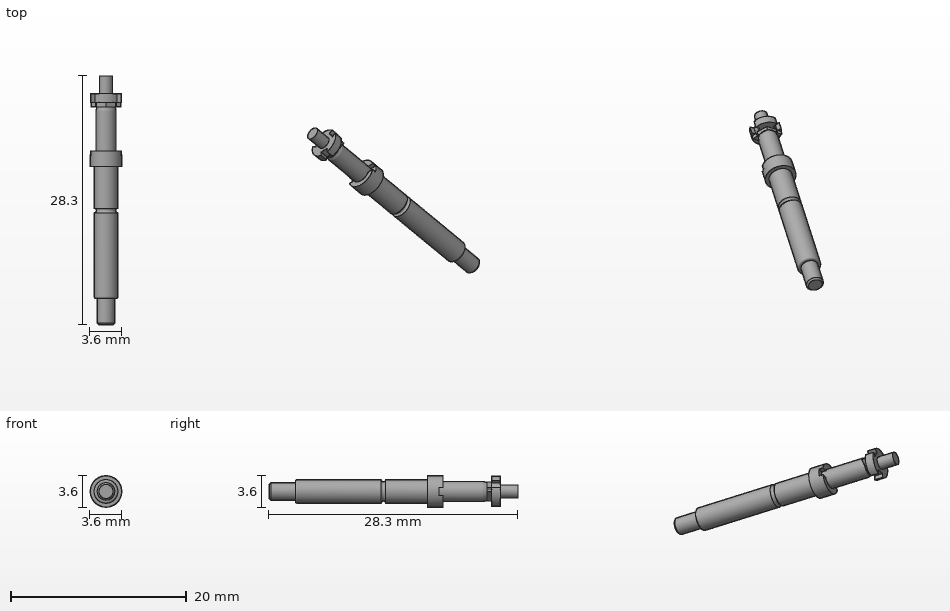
import cadquery as cq
import math

total_length = 28.3
flange_start = 2.0
flange_end = 3.0
cam_end = 3.5
neck_end = 3.95
collar_start = 8.5
collar_end = 10.3
groove_center = 15.3
barrel_end = 25.3

tip_radius = 0.75
core_radius = tip_radius
flange_radius = 1.76
neck_radius = 1.05
sleeve_radius = 1.15
collar_radius = 1.8
barrel_radius = 1.35
tail_radius = 1.0

groove_radius = 0.25
barrel_round = 0.2
tail_chamfer = 0.2

slot_angles = (30, 150, 270)
slot_width = 0.9
slot_floor = 1.18

cam_half_width = 1.7
cam_half_height = 1.1
cam_slope = math.radians(30)

key_slot_width = 0.92
key_slot_depth = 0.5

tip_y = total_length / 2


def revolved_body():
    """Turned pin: a half profile spun about the Y axis."""

    def at(radius, station):
        return radius, tip_y - station

    barrel_round_center = at(barrel_radius - barrel_round, barrel_end - barrel_round)
    round_offset = barrel_round * math.sqrt(0.5)
    barrel_round_middle = (
        barrel_round_center[0] + round_offset,
        barrel_round_center[1] - round_offset,
    )
    profile = (
        cq.Workplane("XY")
        .moveTo(*at(0, 0))
        .lineTo(*at(tip_radius, 0))
        .lineTo(*at(tip_radius, flange_start))
        .lineTo(*at(flange_radius, flange_start))
        .lineTo(*at(flange_radius, flange_end))
        .lineTo(*at(core_radius, flange_end))
        .lineTo(*at(core_radius, cam_end))
        .lineTo(*at(neck_radius, cam_end))
        .lineTo(*at(sleeve_radius, neck_end))
        .lineTo(*at(sleeve_radius, collar_start))
        .lineTo(*at(collar_radius, collar_start))
        .lineTo(*at(collar_radius, collar_end))
        .lineTo(*at(barrel_radius, collar_end))
        .lineTo(*at(barrel_radius, groove_center - groove_radius))
        .threePointArc(
            at(barrel_radius - groove_radius, groove_center),
            at(barrel_radius, groove_center + groove_radius),
        )
        .lineTo(*at(barrel_radius, barrel_end - barrel_round))
        .threePointArc(barrel_round_middle, at(barrel_radius - barrel_round, barrel_end))
        .lineTo(*at(tail_radius, barrel_end))
        .lineTo(*at(tail_radius, total_length - tail_chamfer))
        .lineTo(*at(tail_radius - tail_chamfer, total_length))
        .lineTo(*at(0, total_length))
        .close()
    )
    return profile.revolve(360, (0, 0, 0), (0, 1, 0))


def prism(outline, station_start, station_end):
    """Extrude an outline drawn in X and Z between two stations along the axis."""
    return (
        cq.Workplane("XZ", origin=(0, tip_y - station_start, 0))
        .polyline(outline)
        .close()
        .extrude(station_end - station_start)
    )


def rectangle(x_start, x_end, height):
    """Outline of a rectangle between two X positions, centred on Z = 0."""
    half_height = height / 2
    return [
        (x_start, -half_height),
        (x_end, -half_height),
        (x_end, half_height),
        (x_start, half_height),
    ]


def flange_slot(angle):
    """Parallel-sided slot with a flat floor, open outward past the flange rim."""
    outline = rectangle(slot_floor, 2 * flange_radius, slot_width)
    return prism(outline, flange_start, flange_end).rotate((0, 0, 0), (0, -1, 0), angle)


def cam():
    """Pointed plate with a top ridge, whose upper flanks step down along the slot floors."""
    rise = math.tan(cam_slope)
    floor_direction = math.radians(slot_angles[0])
    floor_x = math.cos(floor_direction)
    floor_z = math.sin(floor_direction)

    def step_corner(height_at_center):
        """Point where a flank of the given height at X = 0 meets the slot floor line."""
        x = (slot_floor - height_at_center * floor_z) / (floor_x - rise * floor_z)
        return x, height_at_center - rise * x

    upper_x, upper_z = step_corner(cam_half_height)
    lower_x, lower_z = step_corner(cam_half_width * rise)
    outline = [
        (0, cam_half_height),
        (upper_x, upper_z),
        (lower_x, lower_z),
        (cam_half_width, 0),
        (0, -cam_half_height),
        (-cam_half_width, 0),
        (-lower_x, lower_z),
        (-upper_x, upper_z),
    ]
    return prism(outline, flange_end, cam_end)


def collar_key_slot():
    """Slot across the tip-side face of the collar, open toward +X and -X around the sleeve."""
    station_end = collar_start + key_slot_depth
    outline = rectangle(-collar_radius, collar_radius, key_slot_width)
    sleeve = (
        cq.Workplane("XZ", origin=(0, tip_y - collar_start, 0))
        .circle(sleeve_radius)
        .extrude(key_slot_depth)
    )
    return prism(outline, collar_start, station_end).cut(sleeve)


body = revolved_body()
for slot_angle in slot_angles:
    body = body.cut(flange_slot(slot_angle))
result = body.union(cam()).cut(collar_key_slot())